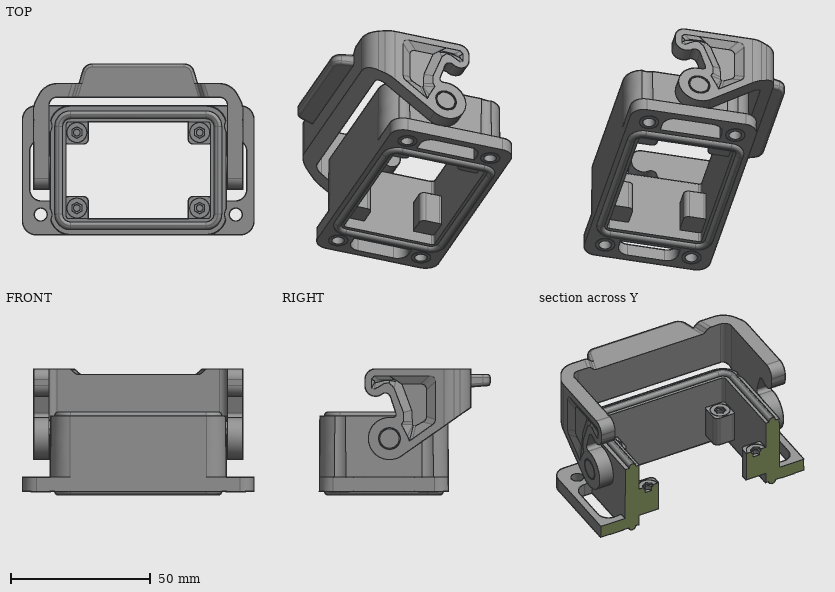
import cadquery as cq
import math


flange_length = 83.0
body_depth = 46.3
flange_corner = 5.0
flange_bottom = 1.3
flange_top = 6.4
body_length = 63.3
body_corner = 7.2
body_top = 28.3
side_draft = 0.4
opening_length = 51.6
opening_depth = 34.7
opening_corner = 1.0

hole_x = 34.95
hole_y = 15.85
hole_diameter = 4.6
head_clearance_diameter = 8.05
foot_diameter = 6.9
foot_height = 0.2
slot_length = 77.7
slot_width = 21.9
slot_corner = 4.15

gasket_length = 59.85
gasket_depth = 42.6
gasket_corner = 5.65
gasket_width = 2.8
gasket_height = 1.5
gasket_round = 1.3

post_side = 8.0
post_corner = 1.8
post_bottom = 5.5
post_top = 17.4
screw_inset = 3.8
screw_diameter = 7.1
screw_proud = 0.1
socket_sides = 6
socket_flats = 3.6
socket_depth = 0.8
pilot_diameter = 2.4
pilot_depth = 1.7

lever_top = 45.2
arm_outer_x = 37.5
arm_inner_x = 31.95
crossbar_back = 31.1
crossbar_front = 26.15
lever_inner_corner = 2.8
lever_bend_radius = 7.5
bend_start_y = 23.5
bend_end_x = 33.4
crossbar_bottom_back = 31.4

hook_tip_y = -6.8
hook_radius = 3.8
hook_lower_z = 39.2
notch_y = 0.5
notch_radius = 1.9
notch_wall_angle = math.radians(18.3)
neck_round = 1.25

pivot_y = 2.0
pivot_z = 20.25
pivot_eye_radius = 7.55
pin_radius = 3.5
pin_gap = 0.4
pin_gap_depth = 0.8

tab_top = 43.25
tab_bottom_root = 38.5
tab_bottom_tip = 39.3
tab_tip_y = 38.1
tab_root_y = 28.6
tab_half_width = 21.25
tab_side_angle = math.radians(16.5)
tab_corner = 3.65
tab_round = 1.1
recess_half_width = 20.75
recess_wall_run = 2.1
recess_overrun = 0.8
recess_rim_round = 2.0
recess_floor_round = 1.25

pocket_depth = 1.4
pocket_corner = 5.0
pocket_rim = [
    (18.4, 26.0), (18.4, 42.7), (2.0, 42.7), (7.0, 29.6), (7.0, 26.4),
    (6.3, 25.2), (8.5, 21.1), (9.1, 19.4), (10.3, 20.2),
]
pocket_floor = [
    (15.3, 26.9), (15.3, 39.75), (6.5, 39.75), (10.0, 30.4), (10.2, 26.4),
    (10.2, 25.2), (10.3, 25.1), (10.5, 24.9), (11.4, 24.8),
]
groove_depth = 0.6
groove_rim = [
    (5.4, 42.7), (-3.4, 42.7), (-4.4, 41.6), (-4.4, 38.4), (-3.3, 37.9),
    (0.0, 39.9), (1.8, 40.25), (3.8, 38.3),
]
groove_floor = [
    (6.2, 41.4), (-1.7, 41.2), (-3.3, 40.75), (-3.4, 40.25), (-3.2, 40.2),
    (0.0, 41.0), (2.15, 41.1), (4.65, 40.5),
]


def block(length, depth, bottom, top, corner, draft=0):
    """Upright block centred on Z with rounded corners."""
    outline = cq.Sketch().rect(length, depth).vertices().fillet(corner)
    return cq.Workplane().workplane(offset=bottom).placeSketch(outline).extrude(top - bottom, taper=draft)


def cylinders(points, diameter, bottom, top):
    """Upright cylinders at the given (x, y) points."""
    base = cq.Workplane().workplane(offset=bottom)
    return base.pushPoints(points).circle(diameter / 2).extrude(top - bottom)


def four_corners(x, y):
    """The four points (+-x, +-y)."""
    return [(side * x, end * y) for side in (-1, 1) for end in (-1, 1)]


def gasket():
    """Half-round gasket ring standing on Z = 0, rounded on top."""
    ring = block(gasket_length, gasket_depth, 0, gasket_height, gasket_corner)
    ring = ring.cut(block(
        gasket_length - 2 * gasket_width,
        gasket_depth - 2 * gasket_width,
        0, gasket_height,
        gasket_corner - gasket_width,
    ))
    return ring.faces(">Z").edges().fillet(gasket_round)


def housing():
    """Drafted flange and body with gaskets, open from top to bottom."""
    holes = four_corners(hole_x, hole_y)
    flange = block(flange_length, body_depth, flange_bottom, flange_top, flange_corner, side_draft)
    flange = flange.union(cylinders(holes, foot_diameter, flange_bottom - foot_height, flange_top))
    flange = flange.cut(cylinders(holes, hole_diameter, 0, flange_top))
    flange = flange.cut(block(slot_length, slot_width, 0, flange_top, slot_corner))

    body = block(body_length, body_depth, flange_bottom, body_top, body_corner, side_draft)
    body = body.cut(cylinders(holes, head_clearance_diameter, flange_top, body_top))

    upper_gasket = gasket().translate((0, 0, body_top))
    lower_gasket = gasket().mirror("XY").translate((0, 0, gasket_height))
    shell = flange.union(body).union(upper_gasket).union(lower_gasket)
    return shell.cut(block(opening_length, opening_depth, 0, body_top, opening_corner))


def posts():
    """Square posts in the corners of the opening, each with a socket screw."""
    reach = opening_corner
    size = post_side + reach
    centre_x = opening_length / 2 + reach - size / 2
    centre_y = opening_depth / 2 + reach - size / 2
    post = block(size, size, post_bottom, post_top, post_corner)
    group = cq.Workplane()
    for x, y in four_corners(centre_x, centre_y):
        group = group.add(post.translate((x, y, 0)))
    group = group.combine()

    screws = four_corners(opening_length / 2 - screw_inset, opening_depth / 2 - screw_inset)
    screw_top = post_top + screw_proud
    socket_floor = screw_top - socket_depth
    group = group.union(cylinders(screws, screw_diameter, post_bottom, screw_top))
    socket = (
        cq.Workplane().workplane(offset=socket_floor)
        .polygon(socket_sides, socket_flats / math.cos(math.pi / socket_sides)).extrude(socket_depth)
        .rotate((0, 0, 0), (0, 0, 1), 180 / socket_sides)
    )
    for x, y in screws:
        group = group.cut(socket.translate((x, y, 0)))
    return group.cut(cylinders(screws, pilot_diameter, socket_floor - pilot_depth, socket_floor))


def arm_profile():
    """Side outline of the lever extruded across its full width."""
    hook_y = hook_tip_y + hook_radius
    reach = hook_radius + notch_radius
    notch_z = hook_lower_z - math.sqrt(reach**2 - (notch_y - hook_y) ** 2)
    touch = (
        hook_y + (notch_y - hook_y) * hook_radius / reach,
        hook_lower_z + (notch_z - hook_lower_z) * hook_radius / reach,
    )
    wall_y, wall_z = math.cos(notch_wall_angle), math.sin(notch_wall_angle)
    notch_end = (notch_y + notch_radius * wall_y, notch_z + notch_radius * wall_z)
    wall_drop = notch_end[1] - pivot_z - pivot_eye_radius / 2
    wall_foot = (notch_end[0] + wall_drop * math.tan(notch_wall_angle), notch_end[1] - wall_drop)

    run = crossbar_back - pivot_y
    rise = crossbar_bottom_back - pivot_z
    slope = math.atan2(rise, run) + math.asin(pivot_eye_radius / math.hypot(run, rise))
    tangent = (
        pivot_y + pivot_eye_radius * math.sin(slope),
        pivot_z - pivot_eye_radius * math.cos(slope),
    )

    diagonal = hook_radius * math.sqrt(0.5)
    upper_z = lever_top - hook_radius
    side = cq.Workplane("YZ", origin=(-arm_outer_x, 0, 0))
    web = (
        side.moveTo(crossbar_back, lever_top)
        .lineTo(hook_y, lever_top)
        .threePointArc((hook_y - diagonal, upper_z + diagonal), (hook_tip_y, upper_z))
        .lineTo(hook_tip_y, hook_lower_z)
        .threePointArc((hook_y - diagonal, hook_lower_z - diagonal), touch)
        .threePointArc((notch_y, notch_z + notch_radius), notch_end)
        .lineTo(*wall_foot)
        .lineTo(pivot_y, pivot_z)
        .lineTo(*tangent)
        .lineTo(crossbar_back, crossbar_bottom_back)
        .close()
        .extrude(2 * arm_outer_x)
    )
    eye = side.center(pivot_y, pivot_z).circle(pivot_eye_radius).extrude(2 * arm_outer_x)
    neck = cq.selectors.NearestToPointSelector((0, wall_foot[0], pivot_z + pivot_eye_radius))
    return web.union(eye).edges("|X").edges(neck).fillet(neck_round)


def lever_plan():
    """U-shaped plan of the lever as a tall prism."""
    front = 2 * hook_tip_y
    outside = (
        cq.Sketch()
        .polygon([
            (-arm_outer_x, front), (-arm_outer_x, bend_start_y), (-bend_end_x, crossbar_back),
            (bend_end_x, crossbar_back), (arm_outer_x, bend_start_y), (arm_outer_x, front),
            (-arm_outer_x, front),
        ])
        .vertices("not <Y").fillet(lever_bend_radius)
    )
    solid = cq.Workplane().placeSketch(outside).extrude(lever_top)
    inside = (
        cq.Workplane().center(0, (crossbar_front + front) / 2)
        .rect(2 * arm_inner_x, crossbar_front - front).extrude(lever_top)
        .edges("|Z and >Y").fillet(lever_inner_corner)
    )
    return solid.cut(inside)


def tapered_pocket(rim, floor, depth):
    """Pocket cutter going in from the left arm's outer face, rim to smaller floor."""
    return (
        cq.Workplane("YZ", origin=(-arm_outer_x, 0, 0)).polyline(rim).close()
        .workplane(offset=depth).polyline(floor).close()
        .loft(ruled=True)
    )


def main_pocket():
    """Large pocket cutter with its two back corners rounded."""
    cutter = tapered_pocket(pocket_rim, pocket_floor, pocket_depth)
    middle_x = pocket_depth / 2 - arm_outer_x
    for rim, floor in zip(pocket_rim[:2], pocket_floor[:2]):
        middle = (middle_x, (rim[0] + floor[0]) / 2, (rim[1] + floor[1]) / 2)
        cutter = cutter.edges(cq.selectors.NearestToPointSelector(middle)).fillet(pocket_corner)
    return cutter


def trapezoid(half_width, width_y, near_y, far_y):
    """Plan points of a trapezoid with the given half width at width_y, narrowing toward +Y."""
    near = half_width + (width_y - near_y) * math.tan(tab_side_angle)
    far = half_width + (width_y - far_y) * math.tan(tab_side_angle)
    return [(-near, near_y), (near, near_y), (far, far_y), (-far, far_y)]


def tab():
    """Thumb tab with a slightly rising underside and rounded edges."""
    plan = (
        cq.Workplane().polyline(trapezoid(tab_half_width, crossbar_back, tab_root_y, tab_tip_y))
        .close().extrude(lever_top)
        .edges("|Z and >Y").fillet(tab_corner)
    )
    side = (
        cq.Workplane("YZ", origin=(-arm_outer_x, 0, 0))
        .polyline([
            (tab_root_y, tab_bottom_root), (tab_tip_y, tab_bottom_tip),
            (tab_tip_y, tab_top), (tab_root_y, tab_top),
        ])
        .close().extrude(2 * arm_outer_x)
    )
    solid = plan.intersect(side)
    return solid.faces(">Z or <Z").edges("not <Y").fillet(tab_round)


def recess():
    """Cutter that lowers the crossbar between its ends, with sloping end walls."""
    near_y, far_y = crossbar_front - recess_overrun, crossbar_back + recess_overrun
    bottom = trapezoid(recess_half_width, crossbar_back, near_y, far_y)
    top = trapezoid(recess_half_width + recess_wall_run, crossbar_back, near_y, far_y)
    return (
        cq.Workplane().workplane(offset=tab_top).polyline(bottom).close()
        .workplane(offset=lever_top - tab_top).polyline(top).close()
        .loft(ruled=True)
        .faces("<Z").edges("not |X").fillet(recess_floor_round)
    )


def lever():
    """Complete lever with pockets, thumb tab and pivot pins."""
    solid = arm_profile().intersect(lever_plan())
    solid = solid.cut(recess())
    mid_bar_y = (crossbar_front + crossbar_back) / 2
    for end_x in (-tab_half_width, tab_half_width):
        rim = cq.selectors.NearestToPointSelector((end_x, mid_bar_y, lever_top + recess_rim_round))
        solid = solid.faces(">Z").edges("not |X").edges("not |Y").edges(rim).fillet(recess_rim_round)
    solid = solid.union(tab())

    side = cq.Workplane("YZ", origin=(-arm_outer_x, pivot_y, pivot_z))
    cutter = (
        main_pocket()
        .union(tapered_pocket(groove_rim, groove_floor, groove_depth))
        .union(side.circle(pin_radius + pin_gap).circle(pin_radius).extrude(pin_gap_depth))
    )
    pin = side.circle(pin_radius).extrude(arm_outer_x - opening_length / 2 - gasket_width)
    solid = solid.cut(cutter).cut(cutter.mirror("YZ"))
    return solid.union(pin).union(pin.mirror("YZ"))


result = housing().union(posts()).union(lever())